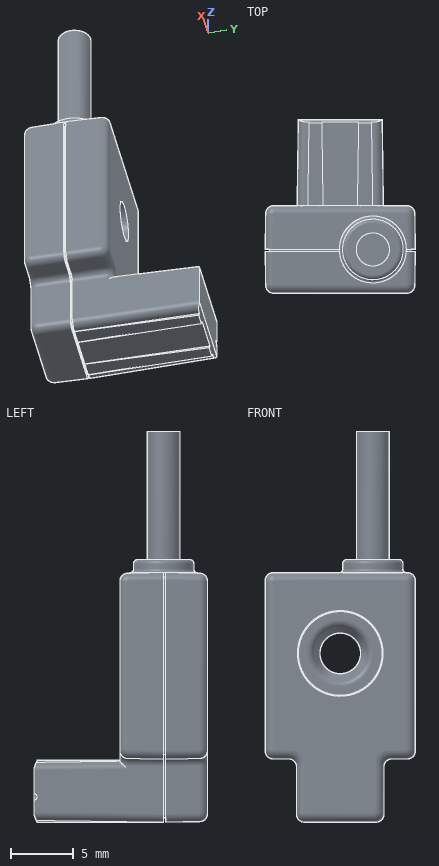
import cadquery as cq
import math

BODY_WIDTH = 12.0
BODY_DEPTH = 7.0
BODY_BOTTOM = 5.07
BODY_TOP = 19.95
STEM_WIDTH = 7.0
STEM_BOTTOM = 0.03
EDGE_RADIUS = 0.65
INNER_CORNER_RADIUS = 0.6

DRAFT = 0.8

GROOVE_WIDTH = 0.16
GROOVE_DEPTH = 0.35

FOOT_END = 10.35
FOOT_TOP = 4.95
END_CHAMFER_LENGTH = 0.25
END_CHAMFER_HEIGHT = 0.6

PAD_INNER = 1.32
PAD_OUTER = 2.64
PAD_NARROWING = 0.15
PAD_BOTTOM = 0.0
PAD_TOP = 4.98

NOTCH_RADIUS = 0.25
NOTCH_HEIGHT = 2.05

HOLE_Z = 13.5
HOLE_RADIUS = 1.61
MOUTH_RADIUS = 2.65
CONE_START_RADIUS = 2.05
MOUTH_LENGTH = 0.6
CONE_LENGTH = 1.42
RECESS_RADIUS = 3.42
RECESS_FLOOR_RADIUS = 3.34
RECESS_DEPTH = 0.2

CABLE_X = 2.6
CABLE_RADIUS = 1.32
CABLE_TOP = 31.21
COLLAR_RADIUS = 2.42
COLLAR_TOP = 21.0
COLLAR_TOP_FILLET = 0.35
COLLAR_FLARE = 0.25

HALF_DEPTH = BODY_DEPTH / 2
BODY_MIDDLE = (BODY_BOTTOM + BODY_TOP) / 2
FRONT_FACE = -HALF_DEPTH

LENGTHWISE = "not(|X or |Z or %CIRCLE)"


def make_block(width, bottom, top, length):
    """Box growing towards +Y from the parting plane and narrowing by the draft."""
    return (
        cq.Workplane("XZ")
        .center(0, (bottom + top) / 2)
        .rect(width, top - bottom)
        .extrude(-length, taper=DRAFT)
    )


def make_sharp_half(inset=0.0):
    """Back half of the T-shaped plate, shrunk by an inset, with rounded corners and a sharp rim."""
    body = make_block(BODY_WIDTH - 2 * inset, BODY_BOTTOM + inset, BODY_TOP - inset, HALF_DEPTH)
    stem = make_block(STEM_WIDTH - 2 * inset, STEM_BOTTOM + inset, BODY_MIDDLE, HALF_DEPTH)
    half = (
        body.edges(LENGTHWISE).fillet(EDGE_RADIUS - inset)
        .union(stem.edges(LENGTHWISE).edges("<Z").fillet(EDGE_RADIUS - inset))
    )
    for side in (-1, 1):
        corner = (side * (STEM_WIDTH / 2 - inset), HALF_DEPTH / 2, BODY_BOTTOM + inset)
        nearest = cq.selectors.NearestToPointSelector(corner)
        half = half.edges(LENGTHWISE).edges(nearest).fillet(INNER_CORNER_RADIUS + inset)
    return half


def make_plate():
    """Both halves joined, with the front and back rims rounded."""
    back_half = make_sharp_half().faces(">Y").edges().fillet(EDGE_RADIUS)
    return back_half.union(back_half.mirror("XZ"))


def make_groove():
    """Thin band just in front of Y = 0 that follows the whole plate outline."""
    slab = cq.Workplane("XY").box(2 * BODY_WIDTH, GROOVE_WIDTH, 2 * CABLE_TOP)
    slab = slab.translate((0, -GROOVE_WIDTH / 2, 0))
    return slab.cut(make_sharp_half(GROOVE_DEPTH).mirror("XZ"))


def make_pad(side):
    """Strip of full height, wide at the parting plane and narrower at the end of the foot."""
    return (
        cq.Workplane("XY", origin=(0, 0, PAD_BOTTOM))
        .polyline([
            (side * PAD_INNER, 0),
            (side * PAD_OUTER, 0),
            (side * (PAD_OUTER - PAD_NARROWING), FOOT_END),
            (side * (PAD_INNER + PAD_NARROWING), FOOT_END),
        ])
        .close()
        .extrude(PAD_TOP - PAD_BOTTOM)
    )


def make_foot():
    """Drafted foot with its strips, chamfered end and corner notch."""
    foot = make_block(STEM_WIDTH, STEM_BOTTOM, FOOT_TOP, FOOT_END)
    foot = foot.edges(LENGTHWISE).fillet(EDGE_RADIUS)
    for side in (-1, 1):
        foot = foot.union(make_pad(side))
    for corner, inward in ((PAD_TOP, -1), (PAD_BOTTOM, 1)):
        wedge = (
            cq.Workplane("YZ")
            .polyline([
                (FOOT_END, corner),
                (FOOT_END - END_CHAMFER_LENGTH, corner),
                (FOOT_END, corner + inward * END_CHAMFER_HEIGHT),
            ])
            .close()
            .extrude(STEM_WIDTH / 2, both=True)
        )
        foot = foot.cut(wedge)
    end_half_width = STEM_WIDTH / 2 - FOOT_END * math.tan(math.radians(DRAFT))
    notch = cq.Workplane("XY").sphere(NOTCH_RADIUS).translate((-end_half_width, FOOT_END, NOTCH_HEIGHT))
    return foot.cut(notch)


def make_hole():
    """Tool for the stepped screw hole, turned about a line parallel to Y."""
    recess_floor = FRONT_FACE + RECESS_DEPTH
    cone_start = recess_floor + MOUTH_LENGTH
    cone_end = cone_start + CONE_LENGTH
    diagonal = math.sqrt(0.5)
    mouth_middle = (
        CONE_START_RADIUS + (MOUTH_RADIUS - CONE_START_RADIUS) * (1 - diagonal),
        recess_floor + MOUTH_LENGTH * (1 - diagonal),
    )
    return (
        cq.Workplane("XY", origin=(0, 0, HOLE_Z))
        .moveTo(0, FRONT_FACE)
        .lineTo(RECESS_RADIUS, FRONT_FACE)
        .lineTo(RECESS_FLOOR_RADIUS, recess_floor)
        .lineTo(MOUTH_RADIUS, recess_floor)
        .threePointArc(mouth_middle, (CONE_START_RADIUS, cone_start))
        .lineTo(HOLE_RADIUS, cone_end)
        .lineTo(HOLE_RADIUS, HALF_DEPTH)
        .lineTo(0, HALF_DEPTH)
        .close()
        .revolve(360, (0, 0, 0), (0, 1, 0))
    )


def make_cable():
    """Cable and collar, turned about a line parallel to Z."""
    return (
        cq.Workplane("XZ", origin=(CABLE_X, 0, 0))
        .moveTo(0, BODY_TOP - EDGE_RADIUS)
        .lineTo(COLLAR_RADIUS + COLLAR_FLARE, BODY_TOP - EDGE_RADIUS)
        .lineTo(COLLAR_RADIUS + COLLAR_FLARE, BODY_TOP)
        .radiusArc((COLLAR_RADIUS, BODY_TOP + COLLAR_FLARE), COLLAR_FLARE)
        .lineTo(COLLAR_RADIUS, COLLAR_TOP - COLLAR_TOP_FILLET)
        .radiusArc((COLLAR_RADIUS - COLLAR_TOP_FILLET, COLLAR_TOP), -COLLAR_TOP_FILLET)
        .lineTo(CABLE_RADIUS, COLLAR_TOP)
        .lineTo(CABLE_RADIUS, CABLE_TOP)
        .lineTo(0, CABLE_TOP)
        .close()
        .revolve(360, (0, 0, 0), (0, 1, 0))
    )


result = make_plate().cut(make_groove()).union(make_foot()).cut(make_hole()).union(make_cable())